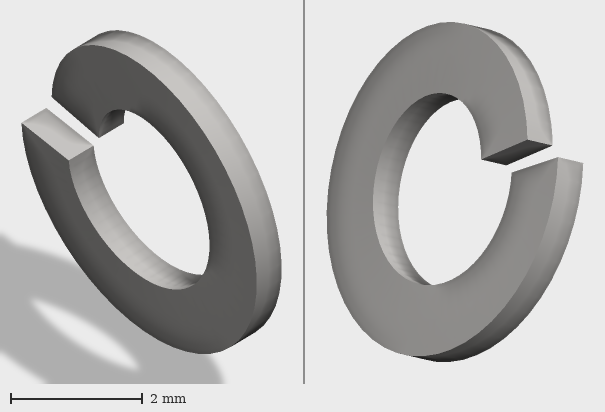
import cadquery as cq

outer_radius = 2.55
inner_radius = 1.455
thickness = 0.5
overall_width = 1.1
gap_angle = 3.7

radial_width = outer_radius - inner_radius
mean_radius = (outer_radius + inner_radius) / 2
rise = overall_width - thickness
turn_fraction = (360.0 - gap_angle) / 360.0
pitch = rise / turn_fraction

helix = cq.Wire.makeHelix(pitch, rise, mean_radius, lefthand=True)

coil = (
    cq.Workplane("XZ")
    .center(mean_radius, 0)
    .rect(radial_width, thickness)
    .sweep(cq.Workplane(obj=helix), isFrenet=True)
)

result = (
    coil.rotate((0, 0, 0), (1, 0, 0), -90)
    .rotate((0, 0, 0), (0, 1, 0), 180)
    .translate((0, -rise / 2, 0))
)